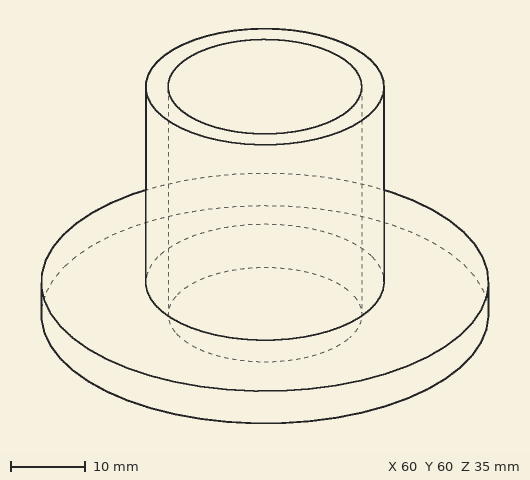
import cadquery as cq

flange_diameter = 60.0
flange_thickness = 5.0
tube_diameter = 32.0
tube_length = 30.0
bore_diameter = 26.0

total_height = flange_thickness + tube_length

flange = cq.Workplane("XY").circle(flange_diameter / 2).extrude(flange_thickness)

tube = cq.Workplane("XY").circle(tube_diameter / 2).extrude(total_height)

bore = cq.Workplane("XY").circle(bore_diameter / 2).extrude(total_height)

result = flange.union(tube).cut(bore)